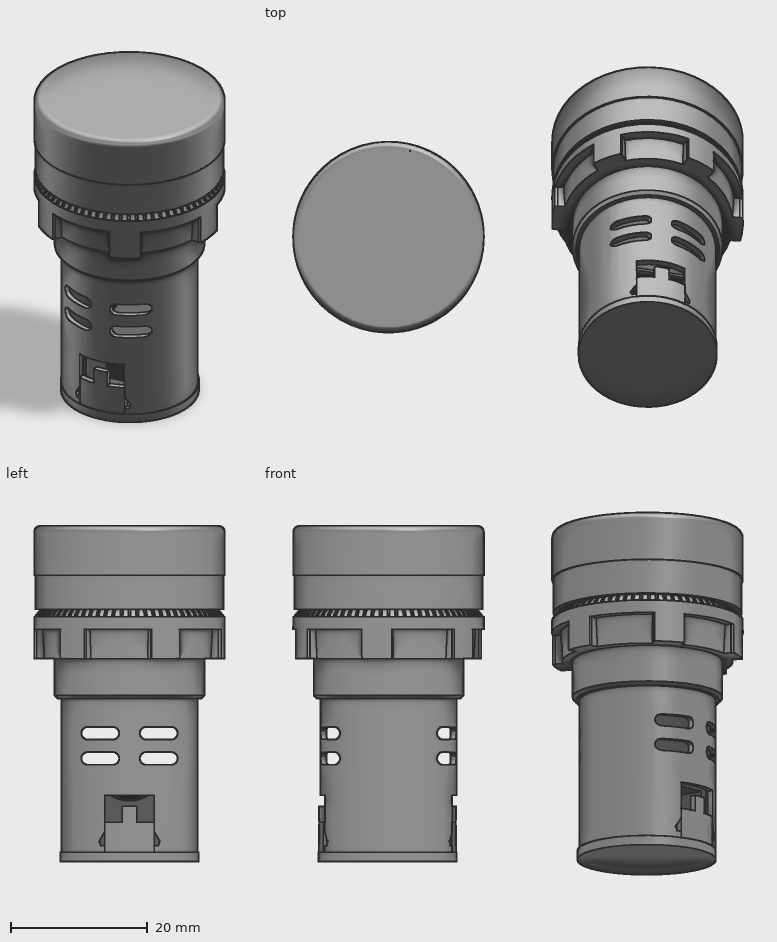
import cadquery as cq

OUTER_RADIUS = 28.0 / 2
TOP_Z = 49.2
LENS_BOTTOM_Z = 41.95
LENS_FILLET = 1.0

HEAD_RADIUS = 27.6 / 2
HEAD_BOTTOM_Z = 36.95
COLLAR_RADIUS = 22.0 / 2
COLLAR_BOTTOM_Z = 23.85
COLLAR_CHAMFER = 0.5
TUBE_RADIUS = 20.0 / 2
BORE_RADIUS = 18.4 / 2

SLOT_HEIGHT = 1.8
SLOT_LENGTH = 5.5
SLOT_OFFSET_Y = 4.3
SLOT_LEVELS = (15.1, 18.8)

WINDOW_HALF_WIDTH = 7.25 / 2
WINDOW_TOP_Z = 9.7
NOTCH_TOP_Z = 4.4
NOTCH_TIP_Z = 2.95
NOTCH_BOTTOM_Z = 2.3
NOTCH_DEPTH = 0.85
NOTCH_BOTTOM_DEPTH = 0.6

NUT_BOTTOM_Z = 29.7
BAND_BOTTOM_Z = 34.0
BAND_TOP_Z = 35.85
CONE_BASE_RADIUS = 13.85
CONE_TOP_RADIUS = 26.0 / 2
SKIRT_TOP_RADIUS = 12.75
SKIRT_BOTTOM_RADIUS = 12.5
TOOTH_COUNT = 72
TOOTH_GAP = 0.4
TOOTH_GAP_START_RADIUS = 12.7
TOOTH_FLOOR_Z = 36.05
LUG_COUNT = 6
LUG_HALF_WIDTH = 2.25
LUG_TIP_HALF_WIDTH = 2.2
LUG_TIP_DEPTH = 0.6
LUG_FIRST_ANGLE = -7.3

CAP_RADIUS = 20.3 / 2
CAP_SHIFT_X = -0.15
CAP_RIM_HEIGHT = 1.4
PANEL_RADIUS = 10.1
PANEL_TOP_Z = 5.75
TAB_HALF_WIDTH = 2.1 / 2
TAB_TOP_Z = 8.05
CORE_HALF_LENGTH = 7.4
CORE_HALF_WIDTH = 4.6
CORE_TOP_Z = 10.35
CORE_WEB_THICKNESS = 1.0
POCKET_TOP_Z = 9.85
DOME_RADIUS = 6.0 / 2
DOME_TIP_Z = 8.85


def cylinder(radius, bottom, top):
    return cq.Workplane("XY").workplane(offset=bottom).circle(radius).extrude(top - bottom)


def centred_box(length_x, length_y, bottom, top):
    """Box centred on the Z axis between two heights."""
    return cq.Workplane("XY").workplane(offset=bottom).rect(length_x, length_y).extrude(top - bottom)


def make_lens():
    return cylinder(OUTER_RADIUS, LENS_BOTTOM_Z, TOP_Z).faces(">Z").edges().fillet(LENS_FILLET)


def make_slots():
    """Round-ended slots running through the tube along X."""
    centres = [(y, z) for y in (-SLOT_OFFSET_Y, SLOT_OFFSET_Y) for z in SLOT_LEVELS]
    return (
        cq.Workplane("YZ")
        .pushPoints(centres)
        .slot2D(SLOT_LENGTH, SLOT_HEIGHT)
        .extrude(OUTER_RADIUS, both=True)
    )


def make_window():
    """Opening through both tube walls along X, from the rim upwards."""
    half = WINDOW_HALF_WIDTH
    right_side = [
        (half, CAP_RIM_HEIGHT),
        (half, NOTCH_BOTTOM_Z),
        (half + NOTCH_BOTTOM_DEPTH, NOTCH_BOTTOM_Z),
        (half + NOTCH_DEPTH, NOTCH_TIP_Z),
        (half, NOTCH_TOP_Z),
        (half, WINDOW_TOP_Z),
    ]
    left_side = [(-y, z) for y, z in reversed(right_side)]
    outline = cq.Workplane("YZ").polyline(right_side + left_side).close()
    return outline.extrude(OUTER_RADIUS, both=True)


def make_housing():
    collar = cylinder(COLLAR_RADIUS, COLLAR_BOTTOM_Z, HEAD_BOTTOM_Z)
    collar = collar.faces("<Z").edges().chamfer(COLLAR_CHAMFER)
    housing = cylinder(HEAD_RADIUS, HEAD_BOTTOM_Z, LENS_BOTTOM_Z)
    housing = housing.union(collar)
    housing = housing.union(cylinder(TUBE_RADIUS, CAP_RIM_HEIGHT, COLLAR_BOTTOM_Z))
    housing = housing.cut(cylinder(BORE_RADIUS, CAP_RIM_HEIGHT, LENS_BOTTOM_Z))
    return housing.cut(make_slots()).cut(make_window())


def make_nut_ring():
    profile = [
        (COLLAR_RADIUS, NUT_BOTTOM_Z),
        (SKIRT_BOTTOM_RADIUS, NUT_BOTTOM_Z),
        (SKIRT_TOP_RADIUS, BAND_BOTTOM_Z),
        (OUTER_RADIUS, BAND_BOTTOM_Z),
        (OUTER_RADIUS, BAND_TOP_Z),
        (CONE_BASE_RADIUS, BAND_TOP_Z),
        (CONE_TOP_RADIUS, HEAD_BOTTOM_Z),
        (COLLAR_RADIUS, HEAD_BOTTOM_Z),
    ]
    return cq.Workplane("XZ").polyline(profile).close().revolve(360, (0, 0), (0, 1))


def make_lug(angle):
    """Parallel-sided lug pointing to -Y, turned about Z by the angle."""
    shoulder = OUTER_RADIUS - LUG_TIP_DEPTH
    inner = (COLLAR_RADIUS + SKIRT_BOTTOM_RADIUS) / 2
    half_outline = [
        (LUG_HALF_WIDTH, -inner),
        (LUG_HALF_WIDTH, -shoulder),
        (LUG_TIP_HALF_WIDTH, -shoulder),
        (LUG_TIP_HALF_WIDTH, -OUTER_RADIUS),
    ]
    outline = half_outline + [(-x, y) for x, y in reversed(half_outline)]
    lug = (
        cq.Workplane("XY")
        .workplane(offset=NUT_BOTTOM_Z)
        .polyline(outline)
        .close()
        .extrude(BAND_BOTTOM_Z - NUT_BOTTOM_Z)
    )
    lug = lug.intersect(cylinder(OUTER_RADIUS, NUT_BOTTOM_Z, BAND_BOTTOM_Z))
    return lug.rotate((0, 0, 0), (0, 0, 1), angle)


def make_tooth_gaps():
    """Radial slots that divide the cone of the nut into teeth."""
    gap_length = OUTER_RADIUS - TOOTH_GAP_START_RADIUS
    gap_centre = (OUTER_RADIUS + TOOTH_GAP_START_RADIUS) / 2
    return (
        cq.Workplane("XY")
        .workplane(offset=TOOTH_FLOOR_Z)
        .polarArray(gap_centre, 0, 360, TOOTH_COUNT)
        .rect(gap_length, TOOTH_GAP)
        .extrude(HEAD_BOTTOM_Z - TOOTH_FLOOR_Z)
    )


def make_nut():
    nut = make_nut_ring().cut(make_tooth_gaps())
    for index in range(LUG_COUNT):
        nut = nut.union(make_lug(LUG_FIRST_ANGLE + index * 360 / LUG_COUNT))
    return nut


def make_latch_panels():
    """Curved wall sections that fill the lower part of the windows, each with a tab on top."""
    full_width = centred_box(2 * CAP_RADIUS, 2 * WINDOW_HALF_WIDTH, CAP_RIM_HEIGHT, PANEL_TOP_Z)
    tab_width = centred_box(2 * CAP_RADIUS, 2 * TAB_HALF_WIDTH, PANEL_TOP_Z, TAB_TOP_Z)
    wall = cylinder(PANEL_RADIUS, CAP_RIM_HEIGHT, TAB_TOP_Z)
    wall = wall.cut(cylinder(BORE_RADIUS, CAP_RIM_HEIGHT, TAB_TOP_Z))
    return wall.intersect(full_width.union(tab_width))


def make_core():
    """Inner block with a pocket behind each window, parted by a web, and a dome under the ceiling."""
    core = centred_box(2 * CORE_HALF_LENGTH, 2 * CORE_HALF_WIDTH, CAP_RIM_HEIGHT, CORE_TOP_Z)
    pockets = centred_box(2 * CORE_HALF_LENGTH, 2 * WINDOW_HALF_WIDTH, CAP_RIM_HEIGHT, POCKET_TOP_Z)
    web = centred_box(CORE_WEB_THICKNESS, 2 * WINDOW_HALF_WIDTH, CAP_RIM_HEIGHT, POCKET_TOP_Z)
    dome_height = POCKET_TOP_Z - DOME_TIP_Z
    sphere_radius = (DOME_RADIUS**2 + dome_height**2) / (2 * dome_height)
    sphere = cq.Workplane("XY").sphere(sphere_radius).translate((0, 0, DOME_TIP_Z + sphere_radius))
    dome = sphere.intersect(cylinder(DOME_RADIUS, DOME_TIP_Z, POCKET_TOP_Z))
    return core.cut(pockets).union(web).union(dome)


def make_cap():
    cap = cylinder(CAP_RADIUS, 0, CAP_RIM_HEIGHT)
    cap = cap.union(make_latch_panels()).union(make_core())
    return cap.translate((CAP_SHIFT_X, 0, 0))


lens = make_lens()
housing = make_housing()
nut = make_nut()
cap = make_cap()

result = cq.Compound.makeCompound([lens.val(), housing.val(), nut.val(), cap.val()])